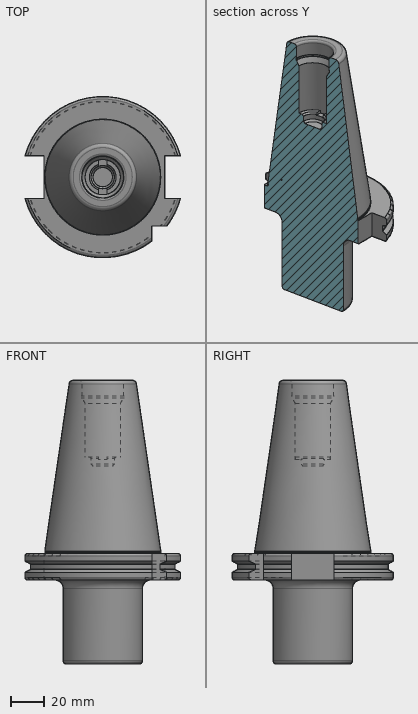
import cadquery as cq
import math

TOTAL_HEIGHT = 171.8
FLANGE_BOTTOM = 50.8
FLANGE_TOP = 67.0

SHANK_RADIUS = 24.0
SHANK_EDGE_ROUND = 2.0
SHANK_FLANGE_FILLET = 5.0

FLANGE_RADIUS = 48.8
FLANGE_EDGE_ROUND = 1.5
GROOVE_DEPTH = 3.1
GROOVE_FLOOR_WIDTH = 3.3
GROOVE_FLOOR_FILLET = 0.3
GROOVE_HALF_ANGLE = math.radians(30)
GROOVE_MIDDLE = (FLANGE_BOTTOM + FLANGE_TOP) / 2
GROOVE_RADIUS = FLANGE_RADIUS - GROOVE_DEPTH

TAPER_TOP_RADIUS = 20.1
TAPER_BOTTOM = 68.7
TAPER_SLOPE = 7 / 48
TAPER_EDGE_ROUND = 2.5

RELIEF_DEPTH = 0.3
RELIEF_BOTTOM = 67.5
RELIEF_TOP = 68.0

SLOT_WIDTH = 25.8
SLOT_FLOOR_LEFT = 35.5
SLOT_FLOOR_RIGHT = 37.6

NOTCH_X = 29.7
NOTCH_Y = -29.7

BORE_RADIUS = 12.5
BORE_MOUTH_ROUND = 1.5
BORE_DEPTH = 10.8
UNDERCUT_WIDTH = 1.2
UNDERCUT_DEPTH = 0.3
CENTRE_CONE_HALF_ANGLE = math.radians(30)
THREAD_RADIUS = 10.6
THREAD_DEPTH = 46.4

SOCKET_MOUTH_RADIUS = 8.0
SOCKET_RADIUS = 7.0
SOCKET_FLOOR_RADIUS = 5.8
SOCKET_STRAIGHT_LENGTH = 3.5
KEYWAY_WIDTH = 5.0
KEYWAY_DEPTH = 1.7

SELECT_MARGIN = 0.02


def make_body():
    """Solid of revolution: shank, grooved flange and taper."""
    taper_bottom_radius = TAPER_TOP_RADIUS + (TOTAL_HEIGHT - TAPER_BOTTOM) * TAPER_SLOPE
    floor_half = GROOVE_FLOOR_WIDTH / 2
    mouth_half = floor_half + GROOVE_DEPTH * math.tan(GROOVE_HALF_ANGLE)
    profile = (
        cq.Workplane("XZ")
        .lineTo(SHANK_RADIUS, 0)
        .lineTo(SHANK_RADIUS, FLANGE_BOTTOM)
        .lineTo(FLANGE_RADIUS, FLANGE_BOTTOM)
        .lineTo(FLANGE_RADIUS, GROOVE_MIDDLE - mouth_half)
        .lineTo(GROOVE_RADIUS, GROOVE_MIDDLE - floor_half)
        .lineTo(GROOVE_RADIUS, GROOVE_MIDDLE + floor_half)
        .lineTo(FLANGE_RADIUS, GROOVE_MIDDLE + mouth_half)
        .lineTo(FLANGE_RADIUS, FLANGE_TOP)
        .lineTo(taper_bottom_radius, FLANGE_TOP)
        .lineTo(taper_bottom_radius, RELIEF_BOTTOM)
        .lineTo(taper_bottom_radius - RELIEF_DEPTH, RELIEF_BOTTOM)
        .lineTo(taper_bottom_radius - RELIEF_DEPTH, RELIEF_TOP)
        .lineTo(taper_bottom_radius, RELIEF_TOP)
        .lineTo(taper_bottom_radius, TAPER_BOTTOM)
        .lineTo(TAPER_TOP_RADIUS, TOTAL_HEIGHT)
        .lineTo(0, TOTAL_HEIGHT)
        .close()
    )
    return profile.revolve(360, (0, 0, 0), (0, 1, 0))


def edges_within(radius, height):
    """Selector for the round edges at the given height, up to the given radius."""
    reach = radius + SELECT_MARGIN
    return cq.selectors.BoxSelector(
        (-reach, -reach, height - SELECT_MARGIN),
        (reach, reach, height + SELECT_MARGIN),
        boundingbox=True,
    )


def round_edges(body):
    """Round the free edges and fillet the shank into the flange."""
    body = body.edges(edges_within(SHANK_RADIUS, 0)).fillet(SHANK_EDGE_ROUND)
    body = body.edges(edges_within(SHANK_RADIUS, FLANGE_BOTTOM)).fillet(SHANK_FLANGE_FILLET)
    body = body.edges(edges_within(TAPER_TOP_RADIUS, TOTAL_HEIGHT)).fillet(TAPER_EDGE_ROUND)
    inner_radius = FLANGE_RADIUS - FLANGE_EDGE_ROUND
    for height in (FLANGE_BOTTOM, FLANGE_TOP):
        rim = edges_within(FLANGE_RADIUS, height) - edges_within(inner_radius, height)
        body = body.edges(rim).fillet(FLANGE_EDGE_ROUND)
    for side in (-1, 1):
        corner = edges_within(GROOVE_RADIUS, GROOVE_MIDDLE + side * GROOVE_FLOOR_WIDTH / 2)
        body = body.edges(corner).fillet(GROOVE_FLOOR_FILLET)
    return body


def flange_block(x_start, x_end, y_start, y_end):
    """Cutter spanning the full thickness of the flange."""
    return (
        cq.Workplane("XY", origin=(x_start, y_start, FLANGE_BOTTOM))
        .rect(x_end - x_start, y_end - y_start, centered=False)
        .extrude(FLANGE_TOP - FLANGE_BOTTOM)
    )


def make_bore():
    """Revolved cutter for the stepped bore, with the keyways in its threaded floor."""
    cone_top = TOTAL_HEIGHT - BORE_DEPTH
    cone_bottom = cone_top - (BORE_RADIUS - THREAD_RADIUS) / math.tan(CENTRE_CONE_HALF_ANGLE)
    undercut_top = cone_top + UNDERCUT_WIDTH
    undercut_radius = BORE_RADIUS + UNDERCUT_DEPTH
    thread_floor = TOTAL_HEIGHT - THREAD_DEPTH
    socket_top = thread_floor - (SOCKET_MOUTH_RADIUS - SOCKET_RADIUS)
    socket_bottom = socket_top - SOCKET_STRAIGHT_LENGTH
    socket_floor = socket_bottom - (SOCKET_RADIUS - SOCKET_FLOOR_RADIUS)
    profile = (
        cq.Workplane("XZ")
        .moveTo(0, TOTAL_HEIGHT)
        .lineTo(BORE_RADIUS + BORE_MOUTH_ROUND, TOTAL_HEIGHT)
        .radiusArc((BORE_RADIUS, TOTAL_HEIGHT - BORE_MOUTH_ROUND), -BORE_MOUTH_ROUND)
        .lineTo(BORE_RADIUS, undercut_top)
        .lineTo(undercut_radius, undercut_top)
        .lineTo(undercut_radius, cone_top)
        .lineTo(BORE_RADIUS, cone_top)
        .lineTo(THREAD_RADIUS, cone_bottom)
        .lineTo(THREAD_RADIUS, thread_floor)
        .lineTo(SOCKET_MOUTH_RADIUS, thread_floor)
        .lineTo(SOCKET_RADIUS, socket_top)
        .lineTo(SOCKET_RADIUS, socket_bottom)
        .lineTo(SOCKET_FLOOR_RADIUS, socket_floor)
        .lineTo(0, socket_floor)
        .close()
    )
    floor_plane = cq.Workplane("XY", origin=(0, 0, thread_floor))
    keyway_limit = floor_plane.circle(THREAD_RADIUS).extrude(-KEYWAY_DEPTH)
    keyways = floor_plane.rect(KEYWAY_WIDTH, 2 * THREAD_RADIUS).extrude(-KEYWAY_DEPTH).intersect(keyway_limit)
    return profile.revolve(360, (0, 0, 0), (0, 1, 0)).union(keyways)


def cut_flange(body):
    """Cut the two drive slots and the orientation notch through the flange."""
    half_slot = SLOT_WIDTH / 2
    left_slot = flange_block(-FLANGE_RADIUS, -SLOT_FLOOR_LEFT, -half_slot, half_slot)
    right_slot = flange_block(SLOT_FLOOR_RIGHT, FLANGE_RADIUS, -half_slot, half_slot)
    notch = flange_block(NOTCH_X, FLANGE_RADIUS, -FLANGE_RADIUS, NOTCH_Y)
    return body.cut(left_slot).cut(right_slot).cut(notch)


result = cut_flange(round_edges(make_body())).cut(make_bore())